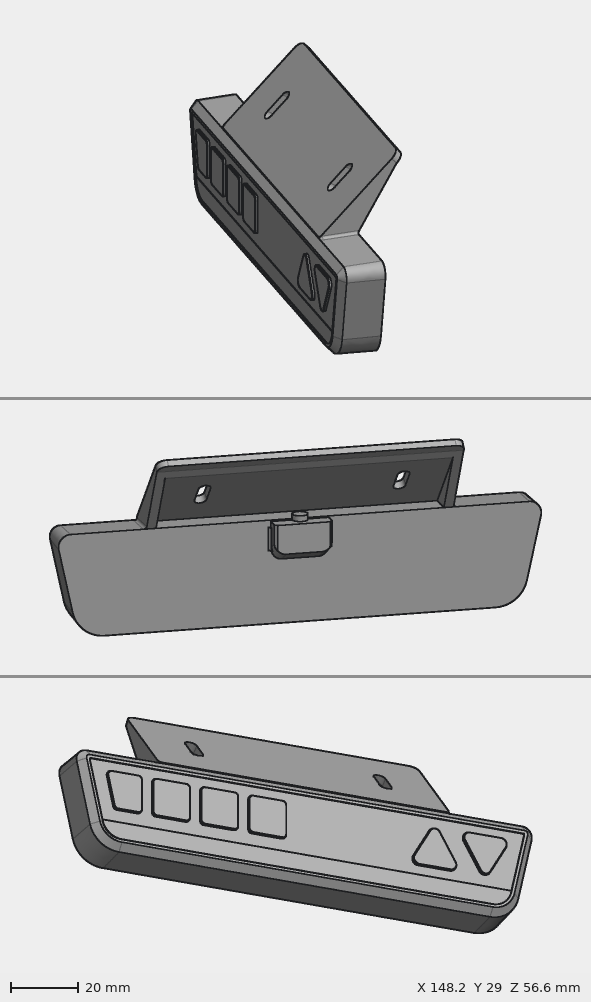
import cadquery as cq
import math


WIDTH = 148.2
HOUSING_HEIGHT = 32.0
HOUSING_DEPTH = 14.2
SIDE_LEAN = 12.3
TOP_CORNER_RADIUS = 3.7
BOTTOM_CORNER_RADIUS = 10.0
DRAFT = 2.0
FACE_CHAMFER = 2.2

PANEL_MARGIN = 3.7
PANEL_TOP_CORNER = 0.5
PANEL_DEPTH = 0.5
LOWER_STRIP_TOP = 9.2
LOWER_STRIP_DEPTH = 0.3

BUTTON_PROUD = 0.5
BUTTON_EDGE = 0.22
SQUARE_SIZE = 12.1
SQUARE_PITCH = 15.5
SQUARE_BOTTOM = 13.0
SQUARE_CORNER = 1.3
FIRST_SQUARE_LEFT = -50.1
SQUARE_COUNT = 3
SLANTED_TOP_WIDTH = 11.5
TRIANGLE_SIDE = 16.9
TRIANGLE_CORNER = 2.0
UP_TRIANGLE_X = 41.2
UP_TRIANGLE_BASE = 12.1
DOWN_TRIANGLE_X = 57.5
DOWN_TRIANGLE_BASE = 25.5

FLANGE_WIDTH = 94.2
FLANGE_TOP = 56.6
FLANGE_BACK = 28.5
TIP_THICKNESS = 2.2
TIP_LENGTH = 3.0
FLANGE_CORNER = 3.0
FLANGE_FOOT_FILLET = 0.9
WEB_THICKNESS = 3.0
RIB_THICKNESS = 3.0
EMBED = 1.5

BORE_DROP = 30.0
SLOT_X = 30.5
SLOT_WIDTH = 3.7
SLOT_LOW = 40.0
SLOT_HIGH = 47.4
BORE_REACH = 11.9

OUTLET_WIDTH = 17.8
OUTLET_BACK = 19.0
OUTLET_TOP = 31.5
OUTLET_BACK_BOTTOM = 22.5
OUTLET_SLOPE = 30.0
OUTLET_ROUND = 3.3
OUTLET_BEVEL = 0.9
COLLAR_BORDER = 0.9
COLLAR_BEVEL = 0.7
COLLAR_TOP = 29.8
COLLAR_BOTTOM = 22.7
PEG_RADIUS = 2.4
PEG_TOP = 33.3

lean = math.tan(math.radians(SIDE_LEAN))
tip_step = TIP_THICKNESS / math.sqrt(2)
tip_front = FLANGE_BACK - tip_step
face_offset = FLANGE_TOP - tip_front
bottom_half = (
    WIDTH / 2 - TOP_CORNER_RADIUS + TOP_CORNER_RADIUS / math.cos(math.radians(SIDE_LEAN))
    - lean * (HOUSING_HEIGHT - TOP_CORNER_RADIUS)
)


def front_plane(y):
    """Plane facing the front (-Y), with local x along X and local y along Z."""
    return cq.Workplane(cq.Plane(origin=(0, y, 0), xDir=(1, 0, 0), normal=(0, -1, 0)))


def side_plane(x):
    """Plane facing +X, with local x along Y and local y along Z."""
    return cq.Workplane(cq.Plane(origin=(x, 0, 0), xDir=(0, 1, 0), normal=(1, 0, 0)))


def rounded_trapezoid(sketch_plane, inset, top_radius):
    """Housing outline moved inwards by inset, with its bottom corners kept concentric."""
    top = HOUSING_HEIGHT - inset
    side_shift = inset / math.cos(math.radians(SIDE_LEAN))
    top_x = bottom_half + lean * top - side_shift
    bottom_x = bottom_half + lean * inset - side_shift
    corners = [(-bottom_x, inset), (bottom_x, inset), (top_x, top), (-top_x, top)]
    outline = (
        cq.Sketch()
        .polygon(corners + corners[:1])
        .vertices("<Y").fillet(BOTTOM_CORNER_RADIUS - inset)
        .reset()
        .vertices(">Y").fillet(top_radius)
    )
    return sketch_plane.placeSketch(outline)


def housing():
    """Drafted body with a chamfered front rim."""
    body = rounded_trapezoid(front_plane(HOUSING_DEPTH), 0, TOP_CORNER_RADIUS)
    body = body.extrude(HOUSING_DEPTH, taper=DRAFT)
    return body.faces("<Y").chamfer(FACE_CHAMFER)


def panel_recess():
    """Shallow recess of the front panel, shallower still over its lower strip."""
    panel = rounded_trapezoid(front_plane(PANEL_DEPTH), PANEL_MARGIN, PANEL_TOP_CORNER)
    panel = panel.extrude(PANEL_DEPTH)
    strip_fill = front_plane(PANEL_DEPTH).rect(WIDTH, 2 * LOWER_STRIP_TOP).extrude(
        PANEL_DEPTH - LOWER_STRIP_DEPTH
    )
    return panel.cut(strip_fill)


def button(corners, corner_radius):
    """Raised key with the given (X, Z) corners, rounded corners and a softened rim."""
    key = front_plane(PANEL_DEPTH).polyline(corners).close().extrude(PANEL_DEPTH + BUTTON_PROUD)
    return key.edges("|Y").fillet(corner_radius).faces("<Y").chamfer(BUTTON_EDGE)


def square_buttons():
    """Row of equal square keys."""
    bottom = SQUARE_BOTTOM
    top = bottom + SQUARE_SIZE
    keys = []
    for i in range(SQUARE_COUNT):
        left = FIRST_SQUARE_LEFT + i * SQUARE_PITCH
        right = left + SQUARE_SIZE
        keys.append(button([(left, bottom), (right, bottom), (right, top), (left, top)], SQUARE_CORNER))
    return keys


def slanted_button():
    """Key beside the slanted end, its left side parallel to that end."""
    bottom = SQUARE_BOTTOM
    top = bottom + SQUARE_SIZE
    right = FIRST_SQUARE_LEFT - SQUARE_PITCH + SQUARE_SIZE
    top_left = right - SLANTED_TOP_WIDTH
    bottom_left = top_left + lean * SQUARE_SIZE
    return button([(bottom_left, bottom), (right, bottom), (right, top), (top_left, top)], SQUARE_CORNER)


def triangle_button(x, base, direction):
    """Equilateral key; direction is 1 for an apex above the base and -1 for one below."""
    half = TRIANGLE_SIDE / 2
    apex = base + direction * half * math.sqrt(3)
    return button([(x - half, base), (x + half, base), (x, apex)], TRIANGLE_CORNER)


def flange():
    """Wedge with a 45 degree upper face, hollowed from below between two end ribs."""
    tip_run = TIP_LENGTH / math.sqrt(2)
    foot = HOUSING_HEIGHT - EMBED
    knee = (FLANGE_BACK - tip_run, FLANGE_TOP - tip_step - tip_run)
    profile = [
        (FACE_CHAMFER, foot),
        (FACE_CHAMFER, FACE_CHAMFER + face_offset),
        (tip_front, FLANGE_TOP),
        (FLANGE_BACK, FLANGE_TOP - tip_step),
        knee,
        (HOUSING_DEPTH, HOUSING_HEIGHT),
        (HOUSING_DEPTH, foot),
    ]
    wedge = side_plane(-FLANGE_WIDTH / 2).polyline(profile).close().extrude(FLANGE_WIDTH)
    tip_face = cq.selectors.DirectionMinMaxSelector(cq.Vector(0, 1, 1))
    tip_edges = wedge.faces(tip_face).edges("not |X")
    wedge = tip_edges.fillet(FLANGE_CORNER)

    web_drop = WEB_THICKNESS * math.sqrt(2)
    hollow_profile = [
        (HOUSING_HEIGHT + web_drop - face_offset, HOUSING_HEIGHT),
        (FLANGE_BACK, FLANGE_BACK + face_offset - web_drop),
        (FLANGE_BACK, HOUSING_HEIGHT),
    ]
    hollow_width = FLANGE_WIDTH - 2 * RIB_THICKNESS
    hollow = side_plane(-hollow_width / 2).polyline(hollow_profile).close().extrude(hollow_width)
    return wedge.cut(hollow)


def slot_cutter(x):
    """Round-ended slot whose mouth on the flange face runs from SLOT_LOW to SLOT_HIGH."""
    drop = math.radians(BORE_DROP)
    middle = (SLOT_LOW + SLOT_HIGH) / 2
    plane = cq.Plane(
        origin=(x, middle - face_offset, middle),
        xDir=(0, math.sin(drop), math.cos(drop)),
        normal=(0, math.cos(drop), -math.sin(drop)),
    )
    rise = SLOT_HIGH - SLOT_LOW
    length = rise * (math.sin(drop) + math.cos(drop))
    return cq.Workplane(plane).slot2D(length, SLOT_WIDTH).extrude(BORE_REACH, both=True)


def outlet():
    """Cable outlet with a sloping rounded underside, a collar at its root and a peg above."""
    root = HOUSING_DEPTH - EMBED
    slope = math.tan(math.radians(OUTLET_SLOPE))
    root_bottom = OUTLET_BACK_BOTTOM - slope * (OUTLET_BACK - root)
    profile = [
        (root, root_bottom),
        (OUTLET_BACK, OUTLET_BACK_BOTTOM),
        (OUTLET_BACK, OUTLET_TOP),
        (root, OUTLET_TOP),
    ]
    block = side_plane(-OUTLET_WIDTH / 2).polyline(profile).close().extrude(OUTLET_WIDTH)
    underside = block.faces("<Z").edges("not |X")
    block = underside.fillet(OUTLET_ROUND)
    plan = (
        cq.Workplane("XY")
        .center(0, OUTLET_BACK / 2)
        .rect(OUTLET_WIDTH, OUTLET_BACK)
        .extrude(OUTLET_TOP)
        .faces(">Y").edges("|Z").chamfer(OUTLET_BEVEL)
    )
    block = block.intersect(plan)

    collar_height = COLLAR_TOP - COLLAR_BOTTOM
    collar = (
        front_plane(HOUSING_DEPTH + COLLAR_BORDER)
        .center(0, COLLAR_BOTTOM + collar_height / 2)
        .rect(OUTLET_WIDTH + 2 * COLLAR_BORDER, collar_height)
        .extrude(COLLAR_BORDER + EMBED)
        .faces(">Y").edges("|Z").chamfer(COLLAR_BEVEL)
    )
    peg_bottom = OUTLET_TOP - EMBED
    peg = (
        cq.Workplane("XY", origin=(0, HOUSING_DEPTH, peg_bottom))
        .circle(PEG_RADIUS)
        .extrude(PEG_TOP - peg_bottom)
    )
    return block.union(collar).union(peg)


def foot_fillet(part):
    """Round the corners where the end ribs stand on the housing."""
    margin = 0.1
    for side in (-1, 1):
        x = side * FLANGE_WIDTH / 2
        foot_box = cq.selectors.BoxSelector(
            (x - margin, FACE_CHAMFER, HOUSING_HEIGHT - EMBED / 2),
            (x + margin, HOUSING_DEPTH, HOUSING_HEIGHT + margin),
        )
        part = part.edges(foot_box).fillet(FLANGE_FOOT_FILLET)
    return part


buttons = square_buttons() + [
    slanted_button(),
    triangle_button(UP_TRIANGLE_X, UP_TRIANGLE_BASE, 1),
    triangle_button(DOWN_TRIANGLE_X, DOWN_TRIANGLE_BASE, -1),
]

result = foot_fillet(housing().union(flange()))
result = result.cut(panel_recess())
for key in buttons:
    result = result.union(key)
for slot_side in (-1, 1):
    result = result.cut(slot_cutter(slot_side * SLOT_X))
result = result.union(outlet())